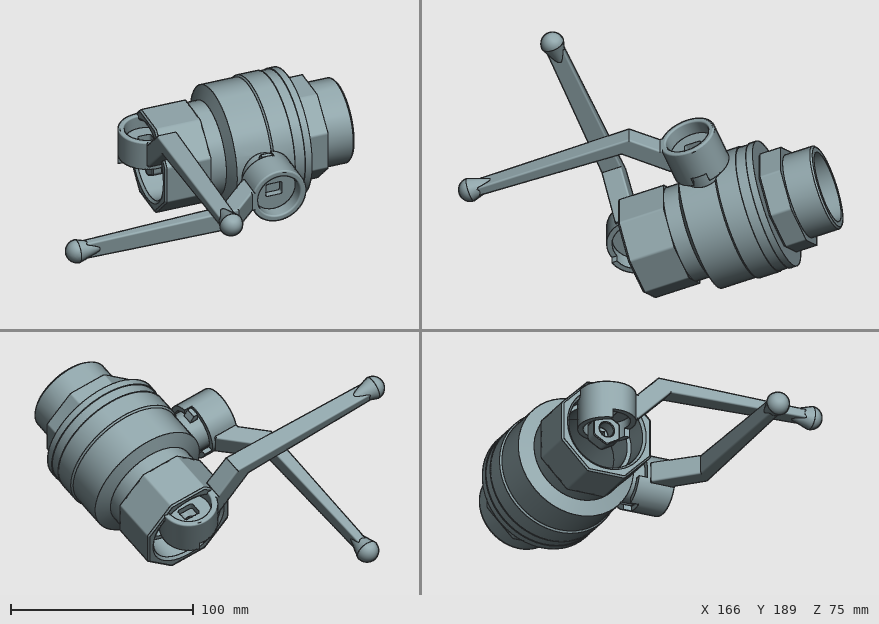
import cadquery as cq
import math


bore_radius = 40 / 2
thread_core_radius = 44.84 / 2
thread_outer_radius = 47.8 / 2
female_thread_depth = 16
thread_entry_chamfer = thread_outer_radius - thread_core_radius

wrench_flats = 54
octagon_corner_radius = 2
octagon_end_chamfer = 1

female_octagon_end = 27
neck_end = 36
shoulder_end = 39.2
barrel_end = 60
collar_start = 61
collar_end = 73
flange_start = 79
flange_end = 83
male_octagon_end = 96
valve_length = 113

neck_radius = wrench_flats / 2
barrel_radius = 70 / 2
groove_radius = 71 / 2
collar_radius = 72 / 2
male_end_chamfer = 1

stem_station = 54
ball_radius = 29
spigot_length = 15

boss_radius = 24 / 2
boss_reach = 46
handle_seat = 38
lug_width = 6
lug_foot_start = 37.2
lug_crest_start = 39.6
lug_end = 42.2
lug_crest = 15.5

hub_radius = 32 / 2
hub_height = 22
hub_rim_round = 1
nut_recess_radius = 25 / 2
nut_recess_depth = 8
hub_cavity_radius = 26 / 2
hub_cavity_depth = 10
stem_slot_length = 9.6
stem_slot_width = 7.8
stem_slot_corner = 1.2
notch_height = 4.9
notch_overrun = 3.6
rear_gap_width = 9

arm_top = 35
arm_root_bottom = 7
arm_bend_bottom = 27.4
arm_tip_bottom = 29.8
arm_tip = 121
arm_root_width = 12
arm_tip_width = 9.4
arm_edge_radius = 1
arm_root_start = 14
knob_radius = 6.5
handle_reach = 130
knob_height = 32.5
knob_center = handle_reach - knob_radius
knob_cone_start = 111
knob_cone_start_radius = 2.6

nut_flats = 16
nut_thickness = 8
nut_hole_radius = 8.38 / 2
nut_corner_radius = 2.5
nut_edge_chamfer = 0.5


def y_cylinder(radius, start, end):
    """Cylinder on the flow axis between two stations."""
    return cq.Workplane("XZ", origin=(0, start, 0)).circle(radius).extrude(start - end)


def turned(outline):
    """Solid turned about the flow axis from (radius, station) points."""
    return cq.Workplane("XY").polyline(outline).close().revolve(360, (0, 0, 0), (0, 1, 0))


def octagon(start, end):
    """Octagonal prism with two flats level, rounded corners and a chamfered start face."""
    half_step = 180 / 8
    corner_diameter = wrench_flats / math.cos(math.radians(half_step))
    return (
        cq.Workplane("XZ", origin=(0, start, 0))
        .transformed(rotate=(0, 0, half_step))
        .polygon(8, corner_diameter)
        .extrude(start - end)
        .edges("|Y")
        .fillet(octagon_corner_radius)
        .faces("<Y")
        .chamfer(octagon_end_chamfer)
    )


def ball_sphere():
    return cq.Workplane("XY", origin=(0, stem_station, 0)).sphere(ball_radius)


def make_ball():
    return ball_sphere().cut(y_cylinder(bore_radius, 0, valve_length))


def stem_boss():
    """Boss along X that carries the handle, with the lug that stops the handle's turn."""
    boss = cq.Workplane("YZ", origin=(0, stem_station, 0)).circle(boss_radius).extrude(boss_reach)
    lug = (
        cq.Workplane("XZ", origin=(0, stem_station, 0))
        .polyline([
            (lug_foot_start, 0),
            (lug_foot_start, boss_radius),
            (lug_crest_start, lug_crest),
            (lug_end, lug_crest),
            (lug_end, 0),
        ])
        .close()
        .extrude(lug_width / 2, both=True)
    )
    return boss.union(lug)


def make_body():
    barrel = turned([
        (0, octagon_end_chamfer),
        (neck_radius - octagon_end_chamfer, octagon_end_chamfer),
        (neck_radius - octagon_end_chamfer, female_octagon_end),
        (neck_radius, female_octagon_end),
        (neck_radius, neck_end),
        (barrel_radius, shoulder_end),
        (barrel_radius, barrel_end),
        (collar_radius, collar_start),
        (collar_radius, collar_end),
        (groove_radius, collar_end),
        (groove_radius, flange_start),
        (0, flange_start),
    ])
    bore = turned([
        (0, 0),
        (thread_outer_radius, 0),
        (thread_core_radius, thread_entry_chamfer),
        (thread_core_radius, female_thread_depth),
        (bore_radius, female_thread_depth),
        (bore_radius, stem_station),
        (ball_radius, stem_station),
        (ball_radius, flange_start),
        (0, flange_start),
    ])
    outside = barrel.union(octagon(0, female_octagon_end)).union(stem_boss())
    return outside.cut(bore).cut(ball_sphere())


def make_connector():
    turning = turned([
        (0, flange_start - spigot_length),
        (ball_radius, flange_start - spigot_length),
        (ball_radius, flange_start),
        (collar_radius, flange_start),
        (collar_radius, flange_end),
        (thread_core_radius, flange_end),
        (thread_core_radius, male_octagon_end),
        (thread_outer_radius, male_octagon_end),
        (thread_outer_radius, valve_length - male_end_chamfer),
        (thread_outer_radius - male_end_chamfer, valve_length),
        (0, valve_length),
    ])
    outside = turning.union(octagon(flange_end, male_octagon_end))
    return outside.cut(y_cylinder(bore_radius, 0, valve_length)).cut(ball_sphere())


def hub_openings():
    """Nut recess on top, stem slot in the web, boss cavity below, stop notch and rear gap."""
    recess = (
        cq.Workplane("XY", origin=(0, 0, hub_height - nut_recess_depth))
        .circle(nut_recess_radius)
        .extrude(nut_recess_depth)
    )
    cavity = cq.Workplane("XY").circle(hub_cavity_radius).extrude(hub_cavity_depth)
    slot = (
        cq.Workplane("XY")
        .rect(stem_slot_length, stem_slot_width)
        .extrude(hub_height)
        .edges("|Z")
        .fillet(stem_slot_corner)
    )
    notch_side = hub_radius + notch_overrun
    notch = (
        cq.Workplane("XY", origin=(-notch_overrun, notch_overrun - notch_side, 0))
        .rect(notch_side, notch_side, centered=False)
        .extrude(notch_height)
    )
    rear_gap = (
        cq.Workplane("XY")
        .rect(rear_gap_width, hub_radius, centered=(True, False))
        .extrude(notch_height)
    )
    return recess.union(cavity).union(slot).union(notch).union(rear_gap)


def handle_hub():
    """Cup for the stem nut over a cavity for the boss, its upper rim rounded on both sides."""
    hub = cq.Workplane("XY").circle(hub_radius).extrude(hub_height).cut(hub_openings())
    return hub.faces(">Z").edges().fillet(hub_rim_round)


def handle_arm():
    """Cranked arm: rises at 45 degrees from the hub, then runs out level and tapers."""
    bend_x = hub_radius + arm_top - hub_height
    lower_bend_x = hub_radius + arm_bend_bottom - arm_root_bottom
    side = (
        cq.Workplane("XZ")
        .polyline([
            (arm_root_start, arm_root_bottom),
            (hub_radius, arm_root_bottom),
            (lower_bend_x, arm_bend_bottom),
            (arm_tip, arm_tip_bottom),
            (arm_tip, arm_top),
            (bend_x, arm_top),
            (hub_radius, hub_height),
            (arm_root_start, hub_height),
        ])
        .close()
        .extrude(arm_root_width, both=True)
    )
    plan = (
        cq.Workplane("XY")
        .polyline([
            (arm_root_start, -arm_root_width / 2),
            (arm_tip, -arm_tip_width / 2),
            (arm_tip, arm_tip_width / 2),
            (arm_root_start, arm_root_width / 2),
        ])
        .close()
        .extrude(arm_top)
    )
    return side.intersect(plan).edges("not(|Y or |Z)").fillet(arm_edge_radius)


def handle_knob():
    """Ball end with a cone that runs from the ball's widest circle back into the arm."""
    return (
        cq.Workplane("XZ", origin=(0, 0, knob_height))
        .moveTo(knob_cone_start, 0)
        .lineTo(knob_cone_start, knob_cone_start_radius)
        .lineTo(knob_center, knob_radius)
        .radiusArc((handle_reach, 0), knob_radius)
        .close()
        .revolve(360, (0, 0, 0), (1, 0, 0))
    )


def make_handle():
    """Handle in its own axes: hub along Z with its foot at the origin, arm towards +X."""
    return handle_hub().union(handle_arm()).union(handle_knob())


def make_nut():
    nut = (
        cq.Workplane("XZ")
        .transformed(rotate=(0, 0, 30))
        .polygon(6, nut_flats / math.cos(math.pi / 6))
        .extrude(-nut_thickness)
        .edges("|Y")
        .fillet(nut_corner_radius)
    )
    drilled = nut.cut(y_cylinder(nut_hole_radius, 0, nut_thickness))
    return drilled.faces("<Y or >Y").chamfer(nut_edge_chamfer)


loose_place = cq.Location()
fitted_place = cq.Location(cq.Plane(
    origin=(handle_seat, stem_station, 0),
    xDir=(0, -1, 0),
    normal=(1, 0, 0),
))
handle = make_handle()
handles = [handle.val().moved(place) for place in (loose_place, fitted_place)]

body = make_body().cut(handle)
connector = make_connector()
ball = make_ball()
nut = make_nut()

result = cq.Compound.makeCompound([body.val(), connector.val(), ball.val(), nut.val(), *handles])